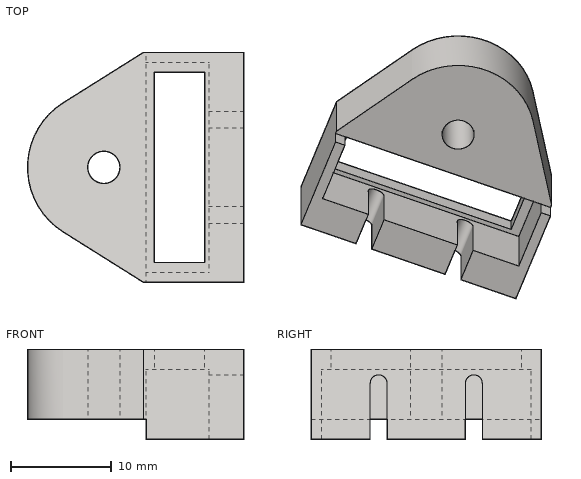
import cadquery as cq
import math

length = 21.65
width = 23.0
height = 9.0
nose_height = 7.0
nose_radius = 7.64
shoulder_x = 11.6

pin_diameter = 3.2

window_start_x = 12.7
window_length = 5.01
window_width = 19.0
window_depth = 2.0

cavity_start_x = 11.87
cavity_end_x = 18.17
side_wall = 1.01
cavity_width = width - 2 * side_wall

notch_width = 1.68
notch_offset_y = 4.75
notch_spring_z = 5.61


def box_between(start_x, end_x, size_y, bottom_z, top_z):
    """Box centred on Y between the given X and Z limits."""
    return (
        cq.Workplane("XY", origin=(start_x, 0, bottom_z))
        .rect(end_x - start_x, size_y)
        .extrude(top_z - bottom_z)
        .translate(((end_x - start_x) / 2, 0, 0))
    )


def make_body():
    """Straight block with flanks tangent to a rounded nose, raised at the nose."""
    half_width = width / 2
    shoulder_dx = shoulder_x - nose_radius
    shoulder_distance = math.hypot(shoulder_dx, half_width)
    tangent_angle = math.atan2(half_width, shoulder_dx) + math.acos(nose_radius / shoulder_distance)
    tangent_x = nose_radius + nose_radius * math.cos(tangent_angle)
    tangent_y = nose_radius * math.sin(tangent_angle)
    body = (
        cq.Workplane("XY")
        .moveTo(length, -half_width)
        .lineTo(length, half_width)
        .lineTo(shoulder_x, half_width)
        .lineTo(tangent_x, tangent_y)
        .threePointArc((0, 0), (tangent_x, -tangent_y))
        .lineTo(shoulder_x, -half_width)
        .close()
        .extrude(height)
    )
    return body.cut(box_between(0, cavity_start_x, width, 0, height - nose_height))


def make_pin_hole():
    return cq.Workplane("XY").center(nose_radius, 0).circle(pin_diameter / 2).extrude(height)


def make_notch(center_y):
    """Round-topped slot running from the cavity out through the rear wall."""
    wall = length - cavity_end_x
    straight = box_between(cavity_end_x, length, notch_width, 0, notch_spring_z)
    round_top = (
        cq.Workplane("YZ", origin=(cavity_end_x, 0, notch_spring_z))
        .circle(notch_width / 2)
        .extrude(wall)
    )
    return straight.union(round_top).translate((0, center_y, 0))


window_end_x = window_start_x + window_length
cavity_top_z = height - window_depth

result = make_body().cut(make_pin_hole())
result = result.cut(box_between(window_start_x, window_end_x, window_width, cavity_top_z, height))
result = result.cut(box_between(cavity_start_x, cavity_end_x, cavity_width, 0, cavity_top_z))
for notch_y in (-notch_offset_y, notch_offset_y):
    result = result.cut(make_notch(notch_y))